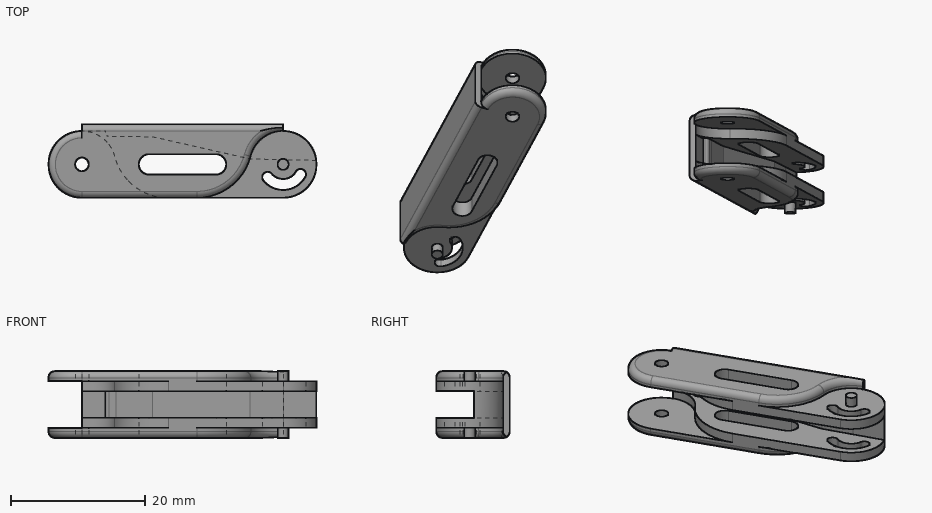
import cadquery as cq
import math

pivot_spacing = 30.0
end_radius = 5.0
half_height = 5.0
plate_thickness = 1.5
web_thickness = 1.0
edge_radius = 1.0
curve_start = 17.1

hole_diameter = 2.0
pin_diameter = 1.65

slot_left = 8.5
slot_right = 21.5
slot_width = 3.0

arc_slot_radius = 3.0
arc_slot_width = 1.6
arc_slot_start = 220.0
arc_slot_end = 330.0

core_left = 3.5
core_corner_radius = 0.5
core_lip_y = 4.2
core_lip_end = (5.05, 4.18)
core_ramp_top = (10.5, 4.15)
core_ramp_foot = (25.05, 0.85)
core_at_pin = (pivot_spacing, 0.74)
core_end_y = 0.63

back_y = end_radius + web_thickness
outer_plate_bottom = half_height - plate_thickness
inner_plate_bottom = outer_plate_bottom - plate_thickness
curve_run = pivot_spacing - curve_start
curve_radius = curve_run**2 / (4 * end_radius)
curve_center_y = curve_radius - end_radius
curve_angle = math.atan2(curve_center_y, -curve_run)
overhang = 2 * web_thickness


def polar(center_x, center_y, radius, angle):
    return (center_x + radius * math.cos(angle), center_y + radius * math.sin(angle))


def s_curve(sketch):
    """Continue a sketch from the front edge along the S curve to the point behind the pin axis."""
    joint = polar(pivot_spacing, 0, end_radius, curve_angle)
    facing_back = math.pi / 2
    lower_middle_angle = (-facing_back + curve_angle - math.pi) / 2
    upper_middle_angle = (curve_angle + facing_back) / 2
    lower_middle = polar(curve_start, curve_center_y, curve_radius, lower_middle_angle)
    upper_middle = polar(pivot_spacing, 0, end_radius, upper_middle_angle)
    return sketch.threePointArc(lower_middle, joint).threePointArc(upper_middle, (pivot_spacing, end_radius))


def prism(sketch, bottom, top):
    return sketch.extrude(top - bottom).translate((0, 0, bottom))


def box(x_range, y_range, z_range):
    size = [high - low for low, high in (x_range, y_range, z_range)]
    return cq.Workplane().box(*size, centered=False).translate((x_range[0], y_range[0], z_range[0]))


def envelope():
    """Block with the web's outline and rounded back edges, used to trim the plates."""
    block = box((0, pivot_spacing), (-end_radius, back_y), (-half_height, half_height))
    return block.edges("|X and >Y").fillet(edge_radius)


def outer_plate():
    """Upper outer plate, with its part of the web and a rounded rim."""
    sketch = s_curve(cq.Workplane().moveTo(-overhang, -end_radius).lineTo(curve_start, -end_radius))
    blank_right = pivot_spacing + overhang
    blank_back = back_y + overhang
    sketch = sketch.lineTo(blank_right, end_radius).lineTo(blank_right, blank_back)
    sketch = sketch.lineTo(-overhang, blank_back).close()
    body = prism(sketch, outer_plate_bottom, half_height)
    rim_point = (curve_start, -end_radius, half_height)
    body = body.faces(">Z").edges(cq.selectors.NearestToPointSelector(rim_point)).fillet(edge_radius)
    body = body.intersect(envelope())

    end = prism(cq.Workplane().circle(end_radius), outer_plate_bottom, half_height)
    end = end.faces(">Z").edges().fillet(edge_radius)
    end = end.intersect(box((-end_radius, 0), (-end_radius, end_radius), (0, half_height)))
    return body.union(end)


def inner_plate():
    """Upper inner plate: the S curve mirrored to the left, a round end on the right."""
    sketch = s_curve(cq.Workplane().moveTo(curve_start, -end_radius))
    overlap_y = end_radius + web_thickness / 2
    sketch = sketch.lineTo(pivot_spacing, overlap_y).lineTo(0, overlap_y).lineTo(0, end_radius)
    sketch = sketch.threePointArc((-end_radius, 0), (0, -end_radius)).close()
    plate = prism(sketch, inner_plate_bottom, outer_plate_bottom)
    return plate.mirror("YZ").translate((pivot_spacing, 0, 0))


def web():
    return envelope().intersect(
        box((0, pivot_spacing), (end_radius, back_y), (-outer_plate_bottom, outer_plate_bottom))
    )


def core():
    """Filling between the inner plates, with a ramp on its front."""
    right = pivot_spacing + end_radius
    sketch = (
        cq.Workplane()
        .moveTo(core_left, end_radius)
        .lineTo(core_left, core_lip_y + core_corner_radius)
        .radiusArc((core_left + core_corner_radius, core_lip_y), -core_corner_radius)
        .lineTo(*core_lip_end)
        .lineTo(*core_ramp_top)
        .lineTo(*core_ramp_foot)
        .lineTo(*core_at_pin)
        .lineTo(right, core_end_y)
        .lineTo(right, end_radius)
        .close()
    )
    block = prism(sketch, -inner_plate_bottom, inner_plate_bottom)
    round_sketch = cq.Workplane().center(pivot_spacing, 0).circle(end_radius)
    round_end = prism(round_sketch, -inner_plate_bottom, inner_plate_bottom)
    left_part = box((0, pivot_spacing), (0, end_radius), (-inner_plate_bottom, inner_plate_bottom))
    return block.intersect(round_end.union(left_part))


def pin():
    sketch = cq.Workplane().center(pivot_spacing, 0).circle(pin_diameter / 2)
    return prism(sketch, outer_plate_bottom, half_height)


def straight_slot():
    length = slot_right - slot_left
    sketch = cq.Workplane().center((slot_left + slot_right) / 2, 0).slot2D(length, slot_width)
    return prism(sketch, 0, half_height)


def curved_slot():
    start = math.radians(arc_slot_start)
    end = math.radians(arc_slot_end)
    middle = (start + end) / 2
    inner = arc_slot_radius - arc_slot_width / 2
    outer = arc_slot_radius + arc_slot_width / 2

    def point(radius, angle):
        return polar(pivot_spacing, 0, radius, angle)

    sketch = (
        cq.Workplane()
        .moveTo(*point(outer, start))
        .threePointArc(point(outer, middle), point(outer, end))
        .radiusArc(point(inner, end), -arc_slot_width / 2)
        .threePointArc(point(inner, middle), point(inner, start))
        .radiusArc(point(outer, start), -arc_slot_width / 2)
        .close()
    )
    return prism(sketch, 0, half_height)


def hole():
    return prism(cq.Workplane().circle(hole_diameter / 2), 0, half_height)


def upper_side():
    side = outer_plate().union(inner_plate()).union(pin())
    return side.cut(straight_slot()).cut(curved_slot()).cut(hole())


upper = upper_side()
result = upper.union(upper.mirror("XY")).union(web()).union(core())